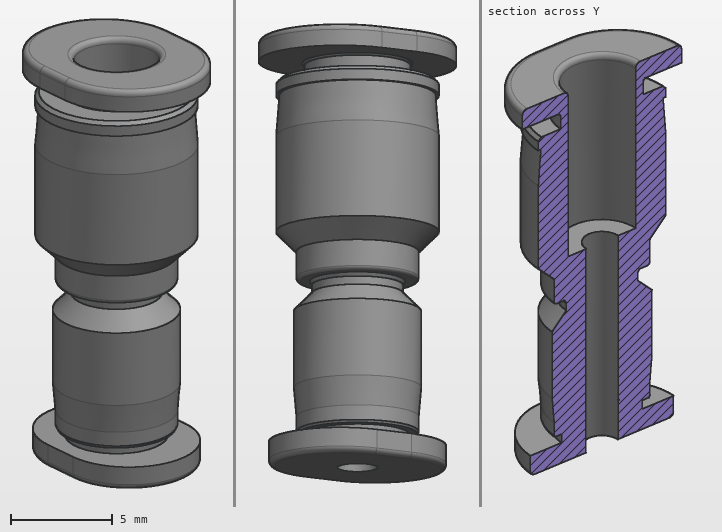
import cadquery as cq

total_height = 21.35
flange_flat = 1.99

top_flange_width = 8.0
top_flange_height = 1.1
top_flange_round = 0.3
top_neck_radius = 2.6
top_neck_relief = 0.1

upper_radius = top_flange_width / 2
collar_top = 19.36
collar_bevel = 0.2
collar_bottom = 18.64
upper_taper_radius = 3.85
upper_taper_bottom = 16.6
upper_bottom = 11.8

spigot_radius = 3.0
spigot_bottom = 9.33
spigot_round = 0.2
waist_radius = 2.25
waist_flare = 0.1
waist_flare_height = 0.2
waist_bottom = 8.73

lower_radius = 3.14
lower_taper_top = 4.01
lower_taper_bottom = 2.55
lower_tip_radius = 3.0
lower_bottom = 1.67
lower_bevel_height = 0.13
lower_bevel_depth = 0.06
bottom_neck_radius = 2.55

bottom_flange_width = 7.0
bottom_flange_height = 1.2
bottom_flange_round = 0.28

socket_diameter = 4.2
through_diameter = 1.99

spigot_top = upper_bottom - (upper_radius - spigot_radius)
lower_shoulder = waist_bottom - (lower_radius - waist_radius)
top_flange_bottom = total_height - top_flange_height
socket_floor = upper_bottom


def flange(width, height, base):
    """Stadium-shaped plate, long along X."""
    return cq.Workplane("XY", origin=(0, 0, base)).slot2D(width + flange_flat, width).extrude(height)


def turned_body():
    """Solid of revolution joining the two flanges, as (radius, height) outline."""
    outline = (
        cq.Workplane("XZ")
        .moveTo(0, bottom_flange_height)
        .lineTo(bottom_neck_radius, bottom_flange_height)
        .lineTo(bottom_neck_radius, lower_bottom)
        .lineTo(lower_tip_radius - lower_bevel_depth, lower_bottom)
        .lineTo(lower_tip_radius, lower_bottom + lower_bevel_height)
        .lineTo(lower_tip_radius, lower_taper_bottom)
        .lineTo(lower_radius, lower_taper_top)
        .lineTo(lower_radius, lower_shoulder)
        .lineTo(waist_radius, waist_bottom)
        .lineTo(waist_radius, spigot_bottom - waist_flare_height)
        .lineTo(waist_radius + waist_flare, spigot_bottom)
        .lineTo(spigot_radius - spigot_round, spigot_bottom)
        .radiusArc((spigot_radius, spigot_bottom + spigot_round), -spigot_round)
        .lineTo(spigot_radius, spigot_top)
        .lineTo(upper_radius, upper_bottom)
        .lineTo(upper_radius, upper_taper_bottom)
        .lineTo(upper_taper_radius, collar_bottom)
        .lineTo(upper_radius, collar_bottom)
        .lineTo(upper_radius, collar_top - collar_bevel)
        .lineTo(upper_radius - collar_bevel, collar_top)
        .lineTo(top_neck_radius, collar_top)
        .lineTo(top_neck_radius, top_flange_bottom - top_neck_relief)
        .lineTo(top_neck_radius + top_neck_relief, top_flange_bottom)
        .lineTo(0, top_flange_bottom)
        .close()
    )
    return outline.revolve(360, (0, 0, 0), (0, 1, 0))


def bore(diameter, bottom, top):
    """Vertical cylinder used as a cutter."""
    return cq.Workplane("XY", origin=(0, 0, bottom)).circle(diameter / 2).extrude(top - bottom)


top_flange = (
    flange(top_flange_width, top_flange_height, top_flange_bottom)
    .cut(bore(socket_diameter, top_flange_bottom, total_height))
    .faces(">Z")
    .edges()
    .fillet(top_flange_round)
)
bottom_flange = (
    flange(bottom_flange_width, bottom_flange_height, 0)
    .faces("<Z")
    .edges()
    .fillet(bottom_flange_round)
)

result = (
    turned_body()
    .union(top_flange)
    .union(bottom_flange)
    .cut(bore(socket_diameter, socket_floor, top_flange_bottom))
    .cut(bore(through_diameter, 0, total_height))
)